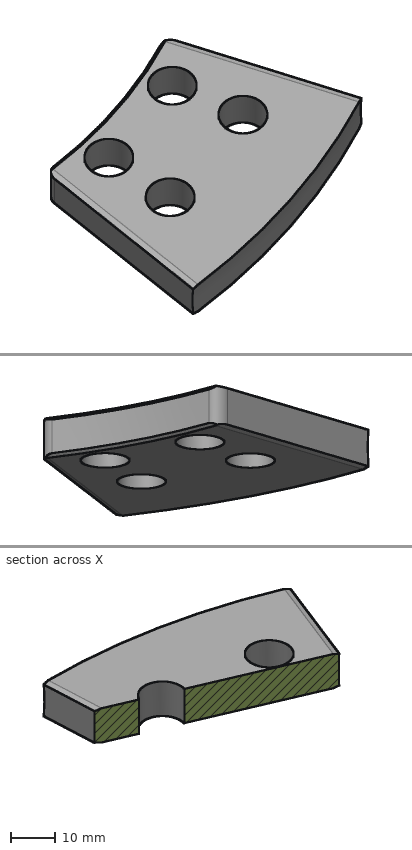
import cadquery as cq
import math

sector_angle = 24.0
side_offset = 0.175
inner_radius = 115.13
outer_radius = 163.5
thickness = 9.49

corner_radius = 3.0
side_bevel_width = 1.55
side_bevel_height = 0.4
inner_bevel = 0.75
outer_hollow_depth = 0.25

hole_diameter = 11.1
hole_circle_radii = (123.0, 141.2)
hole_angles = (sector_angle / 4, 3 * sector_angle / 4)

half_thickness = thickness / 2
mid_angle = sector_angle / 2
bevel_reach = 2 * outer_radius


def polar(radius, angle):
    return (radius * math.cos(math.radians(angle)), radius * math.sin(math.radians(angle)))


def side_overrun(radius):
    """Angle by which a straight side passes its radial line at the given radius."""
    return math.degrees(math.asin(side_offset / radius))


def rounded_sector():
    """Flat sector with its two inner corners rounded."""
    inner_overrun = side_overrun(inner_radius)
    outer_overrun = side_overrun(outer_radius)
    sector = (
        cq.Workplane("XY")
        .workplane(offset=-half_thickness)
        .moveTo(*polar(inner_radius, -inner_overrun))
        .lineTo(*polar(outer_radius, -outer_overrun))
        .threePointArc(polar(outer_radius, mid_angle), polar(outer_radius, sector_angle + outer_overrun))
        .lineTo(*polar(inner_radius, sector_angle + inner_overrun))
        .threePointArc(polar(inner_radius, mid_angle), polar(inner_radius, -inner_overrun))
        .close()
        .extrude(thickness)
    )
    inner_mid_x = polar(inner_radius, mid_angle)[0]
    inner_corners = cq.selectors.BoxSelector(
        (0, -corner_radius, -thickness),
        (inner_mid_x + 2 * corner_radius, outer_radius, thickness),
    )
    return sector.edges("|Z").edges(inner_corners).fillet(corner_radius)


def ring_profile():
    """Full ring with a bevelled bore and a hollow outer wall."""
    return (
        cq.Workplane("XZ")
        .moveTo(inner_radius + inner_bevel, -half_thickness)
        .lineTo(outer_radius, -half_thickness)
        .threePointArc((outer_radius - outer_hollow_depth, 0), (outer_radius, half_thickness))
        .lineTo(inner_radius + inner_bevel, half_thickness)
        .lineTo(inner_radius, half_thickness - inner_bevel)
        .lineTo(inner_radius, inner_bevel - half_thickness)
        .close()
        .revolve(360, (0, 0, 0), (0, 1, 0))
    )


def lower_side_bevels():
    """Top and bottom bevel wedges for the straight side parallel to X."""
    top_wedge = (
        cq.Workplane("YZ")
        .moveTo(-side_offset, half_thickness - side_bevel_height)
        .lineTo(side_bevel_width - side_offset, half_thickness)
        .lineTo(-side_offset, half_thickness)
        .close()
        .extrude(bevel_reach)
    )
    return top_wedge.union(top_wedge.mirror("XY"))


def upper_side_bevels():
    """The lower side bevels mirrored about the sector's middle plane."""
    mirrored = lower_side_bevels().mirror("XZ")
    return mirrored.rotate((0, 0, 0), (0, 0, 1), sector_angle)


def holes():
    centers = [polar(radius, angle) for radius in hole_circle_radii for angle in hole_angles]
    return (
        cq.Workplane("XY")
        .workplane(offset=-half_thickness)
        .pushPoints(centers)
        .circle(hole_diameter / 2)
        .extrude(thickness)
    )


result = (
    rounded_sector()
    .intersect(ring_profile())
    .cut(lower_side_bevels())
    .cut(upper_side_bevels())
    .cut(holes())
)